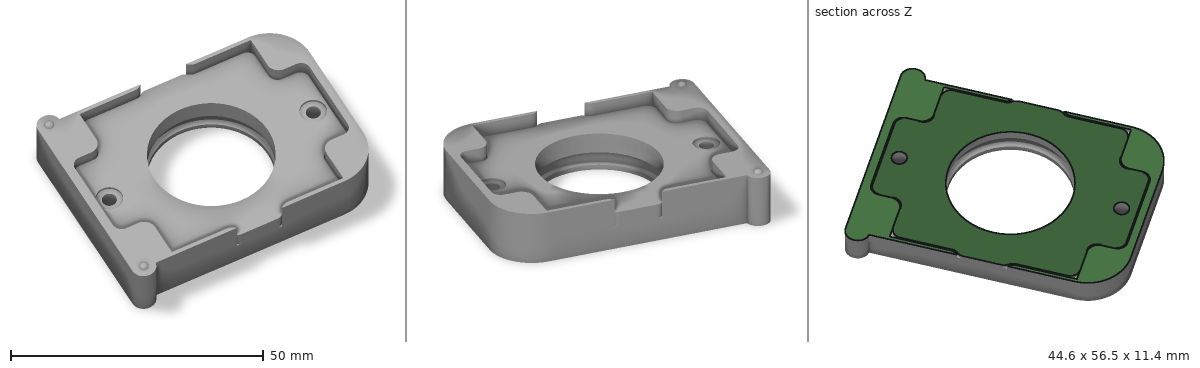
import cadquery as cq
import math

BODY_WIDTH = 40.4
BODY_LENGTH = 56.45
BACK_CORNER_RADIUS = 9.0
BACK_HEIGHT = 11.0
FRONT_HEIGHT = 10.8
EAR_SPAN = 44.6
EAR_LENGTH = 5.0
EAR_CORNER_RADIUS = 2.4
STUD_DIAMETER = 2.0
STUD_TOP = 11.45
LIP_THICKNESS = 1.1
BORE_DIAMETER = 28.0
POCKET_FILLET = 2.5
NOTCH_WIDTH = 10.15

PLATE_WIDTH = 38.4
PLATE_LENGTH = 38.5
NECK_WIDTH = 19.8
NECK_SPAN = 52.4
PLATE_FILLET = 2.0
TAB_FLAT = 7.9
PLATE_THICKNESS = 1.5
PLATE_SEAT = 5.0
CLEARANCE = 0.2
OPENING_DIAMETER = 25.5
COLLAR_DIAMETER = 27.5
COLLAR_DEPTH = 1.2

SCREW_SPACING = 45.85
SCREW_DIAMETER = 3.0
HEAD_DIAMETER = 5.5
HEAD_DEPTH = 0.5

BORE_TO_FRONT = 28.35
FRONT_Y = -BORE_TO_FRONT
BACK_Y = FRONT_Y + BODY_LENGTH
EAR_Y = FRONT_Y + EAR_LENGTH / 2
STUD_X = EAR_SPAN / 2 - EAR_CORNER_RADIUS
STUD_HEIGHT = STUD_TOP - FRONT_HEIGHT
PLATE_SPLIT = PLATE_SEAT + PLATE_THICKNESS
COVER_TOP = PLATE_SPLIT + PLATE_THICKNESS
SCREW_POINTS = [(0, SCREW_SPACING / 2), (0, -SCREW_SPACING / 2)]


def level(z):
    """Horizontal workplane at height z."""
    return cq.Workplane("XY").workplane(offset=z)


def cylinder(diameter, bottom, top):
    """Upright cylinder on the opening axis."""
    return level(bottom).circle(diameter / 2).extrude(top - bottom)


def screw_cylinders(diameter, bottom, top):
    """Pair of upright cylinders on the screw axes."""
    return level(bottom).pushPoints(SCREW_POINTS).circle(diameter / 2).extrude(top - bottom)


def cross_block(gap, inner_fillet, bottom, top):
    """Wide block with a neck at each Y end; gap is added at the X sides and at the neck ends."""
    height = top - bottom
    wide = level(bottom).rect(PLATE_WIDTH + 2 * gap, PLATE_LENGTH).extrude(height)
    neck = level(bottom).rect(NECK_WIDTH, NECK_SPAN + 2 * gap).extrude(height)
    neck = neck.edges("|Z").fillet(PLATE_FILLET)
    reach = NECK_WIDTH / 2 + 0.55
    inner_corners = cq.selectors.BoxSelector(
        (-reach, -PLATE_LENGTH / 2 - 0.55, bottom - 0.55), (reach, PLATE_LENGTH / 2 + 0.55, top + 0.55)
    )
    return wide.union(neck).edges("|Z").edges(inner_corners).fillet(inner_fillet)


def mirrored(quarter):
    """Full shape from the quarter in +X, +Y."""
    half = quarter.union(quarter.mirror("XZ"))
    return half.union(half.mirror("YZ"))


def plate_tabs(bottom, top):
    """Bar across the plate that swells out to the housing sides along S-shaped flanks."""
    tip_x = BODY_WIDTH / 2
    root_x = PLATE_WIDTH / 2
    angle = math.acos(1 - (tip_x - root_x) / (2 * PLATE_FILLET))
    tip_y = TAB_FLAT / 2
    root_y = tip_y + 2 * PLATE_FILLET * math.sin(angle)

    def flank_step(turn):
        return PLATE_FILLET * (1 - math.cos(turn)), PLATE_FILLET * math.sin(turn)

    half_x, half_y = flank_step(angle / 2)
    full_x, full_y = flank_step(angle)
    quarter = (
        level(bottom)
        .lineTo(tip_x, 0)
        .lineTo(tip_x, tip_y)
        .threePointArc((tip_x - half_x, tip_y + half_y), (tip_x - full_x, tip_y + full_y))
        .threePointArc((root_x + half_x, root_y - half_y), (root_x, root_y))
        .lineTo(0, root_y)
        .close()
        .extrude(top - bottom)
    )
    return mirrored(quarter)


def side_notches(bottom, top):
    """Openings through both side walls, leaving rounded wall ends."""
    outer_x = BODY_WIDTH / 2
    wall_x = PLATE_WIDTH / 2 + CLEARANCE
    angle = math.acos(1 - (outer_x - wall_x) / POCKET_FILLET)
    tip_y = NOTCH_WIDTH / 2
    center_x = wall_x + POCKET_FILLET
    center_y = tip_y + POCKET_FILLET * math.sin(angle)
    middle = (
        center_x - POCKET_FILLET * math.cos(angle / 2),
        center_y - POCKET_FILLET * math.sin(angle / 2),
    )
    quarter = (
        level(bottom)
        .lineTo(outer_x, 0)
        .lineTo(outer_x, tip_y)
        .threePointArc(middle, (wall_x, center_y))
        .lineTo(0, center_y)
        .close()
        .extrude(top - bottom)
    )
    return mirrored(quarter)


def plate_blank(bottom):
    """Plate outline with its round opening and screw holes."""
    top = bottom + PLATE_THICKNESS
    blank = cross_block(0, PLATE_FILLET, bottom, top)
    blank = blank.edges("|Z and (<X or >X)").fillet(PLATE_FILLET)
    blank = blank.union(plate_tabs(bottom, top))
    blank = blank.cut(cylinder(OPENING_DIAMETER, bottom, top))
    return blank.cut(screw_cylinders(SCREW_DIAMETER, bottom, top))


def make_cover_plate():
    """Upper plate with shallow recesses for the screw heads."""
    return plate_blank(PLATE_SPLIT).cut(screw_cylinders(HEAD_DIAMETER, COVER_TOP - HEAD_DEPTH, COVER_TOP))


def make_collar_plate():
    """Lower plate with a collar that hangs into the housing bore."""
    collar_bottom = PLATE_SEAT - COLLAR_DEPTH
    collar = cylinder(COLLAR_DIAMETER, collar_bottom, PLATE_SEAT)
    collar = collar.cut(cylinder(OPENING_DIAMETER, collar_bottom, PLATE_SEAT))
    return plate_blank(PLATE_SEAT).union(collar)


def housing_outline():
    """Block with rounded back corners, a rounded ear at each front corner and a lower front half."""
    body = cq.Workplane("XY").center(0, (BACK_Y + EAR_Y) / 2)
    body = body.rect(BODY_WIDTH, BACK_Y - EAR_Y).extrude(BACK_HEIGHT)
    body = body.edges("|Z and >Y").fillet(BACK_CORNER_RADIUS)
    ears = cq.Workplane("XY").center(0, EAR_Y).rect(EAR_SPAN, EAR_LENGTH).extrude(BACK_HEIGHT)
    body = body.union(ears.edges("|Z").fillet(EAR_CORNER_RADIUS))
    front_half = level(FRONT_HEIGHT).center(0, FRONT_Y / 2).rect(EAR_SPAN, BORE_TO_FRONT)
    return body.cut(front_half.extrude(BACK_HEIGHT - FRONT_HEIGHT))


def ear_stud(x):
    """Low spherical cap on top of an ear."""
    rim = STUD_DIAMETER / 2
    sphere_radius = (rim**2 + STUD_HEIGHT**2) / (2 * STUD_HEIGHT)
    cap = cq.Workplane("XY").sphere(sphere_radius).translate((0, 0, STUD_TOP - sphere_radius))
    cap = cap.intersect(cylinder(STUD_DIAMETER, FRONT_HEIGHT - STUD_HEIGHT, STUD_TOP))
    return cap.translate((x, EAR_Y, 0))


def make_housing():
    """Tray with a plate pocket, side notches, a stepped bore, screw holes and ear studs."""
    body = housing_outline()
    body = body.cut(cross_block(CLEARANCE, POCKET_FILLET, PLATE_SEAT, BACK_HEIGHT))
    body = body.cut(side_notches(PLATE_SEAT, BACK_HEIGHT))
    body = body.cut(cylinder(BORE_DIAMETER, LIP_THICKNESS, PLATE_SEAT))
    body = body.cut(cylinder(OPENING_DIAMETER, 0, LIP_THICKNESS))
    body = body.cut(screw_cylinders(SCREW_DIAMETER, 0, PLATE_SEAT))
    for x in (-STUD_X, STUD_X):
        body = body.union(ear_stud(x))
    return body


housing = make_housing()
collar_plate = make_collar_plate()
cover_plate = make_cover_plate()

result = cq.Compound.makeCompound([housing.val(), collar_plate.val(), cover_plate.val()])